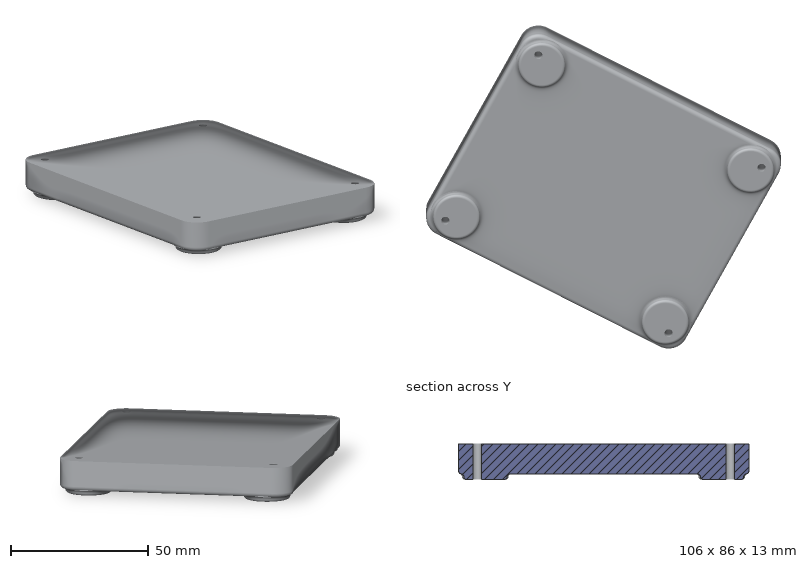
import cadquery as cq
import math

length = 106.0
width = 86.0
height = 11.0
corner_radius = 7.0
lower_edge_radius = 1.5

hole_diameter = 3.0

foot_height = 2.0
foot_radius = 8.5
foot_inset = 10.0
foot_round = foot_height / 2
flare_radius = foot_radius + foot_round
foot_embed = lower_edge_radius


def corner_points(inset):
    """Four points set in from both sides of each corner."""
    x = length / 2 - inset
    y = width / 2 - inset
    return [(sx * x, sy * y) for sx in (-1, 1) for sy in (-1, 1)]


def make_body():
    slab = cq.Workplane("XY").box(length, width, height, centered=(True, True, False))
    return slab.edges("|Z").fillet(corner_radius).faces("<Z").edges().fillet(lower_edge_radius)


def make_foot():
    """One foot turned about the Z axis, in (radius, z) coordinates."""
    arc_offset = foot_round * math.sqrt(0.5)
    rim_center = (foot_radius - foot_round, -foot_round)
    flare_center = (flare_radius, -foot_round)
    return (
        cq.Workplane("XZ")
        .moveTo(0, -foot_height)
        .lineTo(rim_center[0], -foot_height)
        .threePointArc(
            (rim_center[0] + arc_offset, rim_center[1] - arc_offset),
            (foot_radius, -foot_round),
        )
        .threePointArc(
            (flare_center[0] - arc_offset, flare_center[1] + arc_offset),
            (flare_radius, 0),
        )
        .lineTo(flare_radius, foot_embed)
        .lineTo(0, foot_embed)
        .close()
        .revolve(360, (0, 0), (0, 1))
    )


def make_screw_holes():
    return (
        cq.Workplane("XY")
        .workplane(offset=-foot_height)
        .pushPoints(corner_points(corner_radius))
        .circle(hole_diameter / 2)
        .extrude(foot_height + height)
    )


result = make_body()
for x, y in corner_points(foot_inset):
    result = result.union(make_foot().translate((x, y, 0)))
result = result.cut(make_screw_holes())